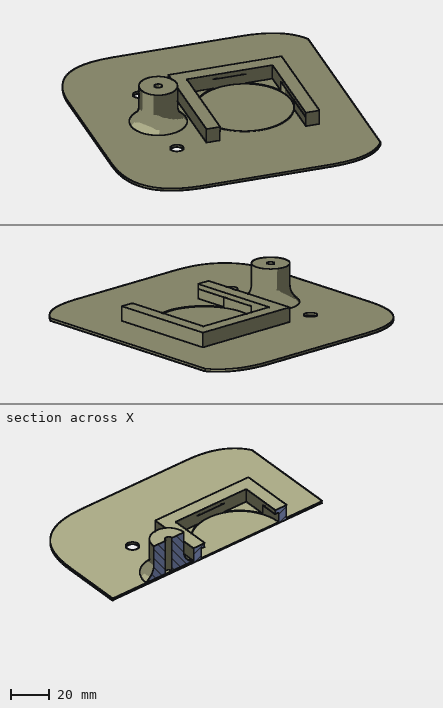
import cadquery as cq
import math

plate_width = 144.5
plate_length = 139.0
plate_thickness = 1.5
half_width = plate_width / 2
corner_reach = 37.1
trim_y = plate_length - half_width

knob_y = -35.0
mount_hole_diameter = 7.0
mount_hole_x = 30.0

holder_y = 12.2
holder_height = 8.0
holder_wall = 7.5
holder_gap = 46.8
holder_left = -31.5
holder_right = 29.5
holder_outer_width = holder_gap + 2 * holder_wall

pocket_diameter = 51.2
pocket_depth = 0.5
lip_thickness = 2.7
entry_clearance = 0.1
pocket_floor = plate_thickness - pocket_depth
lip_bottom = plate_thickness + holder_height - lip_thickness

knob_radius = 10.0
knob_height = 21.0
foot_radius = 15.0
flare_radius = 10.0
knob_bore_diameter = 4.0


def make_plate():
    """Flat plate whose corners are parabolic curves."""
    straight = half_width - corner_reach
    outline = cq.Workplane("XY").moveTo(-straight, -half_width)
    sides = [
        ((straight, -half_width), (half_width, -half_width), (half_width, -straight)),
        ((half_width, straight), (half_width, half_width), (straight, half_width)),
        ((-straight, half_width), (-half_width, half_width), (-half_width, straight)),
        ((-half_width, -straight), (-half_width, -half_width), (-straight, -half_width)),
    ]
    for curve_start, sharp_corner, curve_end in sides:
        outline = outline.lineTo(*curve_start).bezier([curve_start, sharp_corner, curve_end])
    square = outline.close().extrude(plate_thickness)
    kept_area = (
        cq.Workplane("XY")
        .center(0, trim_y - plate_length / 2)
        .rect(plate_width, plate_length)
        .extrude(plate_thickness)
    )
    mount_holes = (
        cq.Workplane("XY")
        .pushPoints([(-mount_hole_x, knob_y), (mount_hole_x, knob_y)])
        .circle(mount_hole_diameter / 2)
        .extrude(plate_thickness)
    )
    return square.intersect(kept_area).cut(mount_holes)


def block_from_left(left, width, bottom, top):
    """Block centred on the holder in Y, running from left to the holder's open end."""
    length = holder_right - left
    return (
        cq.Workplane("XY", origin=(left + length / 2, holder_y, bottom))
        .rect(length, width)
        .extrude(top - bottom)
    )


def make_holder():
    """U-shaped wall standing on the plate."""
    top = plate_thickness + holder_height
    outer = block_from_left(holder_left, holder_outer_width, plate_thickness, top)
    opening = block_from_left(holder_left + holder_wall, holder_gap, plate_thickness, top)
    return outer.cut(opening)


def make_base():
    """Plate and holder in one piece, with the round pocket and its entry cut out."""
    pocket = (
        cq.Workplane("XY", origin=(0, holder_y, pocket_floor))
        .circle(pocket_diameter / 2)
        .extrude(lip_bottom - pocket_floor)
    )
    entry = block_from_left(0, holder_gap + 2 * entry_clearance, plate_thickness, lip_bottom)
    return make_plate().union(make_holder()).cut(pocket).cut(entry)


def make_knob():
    """Turned knob on the plate, bored along its axis."""
    foot_angle = math.radians(45)
    cone_height = foot_radius - knob_radius
    tangent_length = flare_radius * math.tan(foot_angle / 2)
    flare_top = cone_height + tangent_length
    flare_bottom_z = cone_height - tangent_length * math.cos(foot_angle)
    flare_bottom_radius = foot_radius - flare_bottom_z
    mid_angle = foot_angle / 2
    flare_middle = (
        knob_radius + flare_radius * (1 - math.cos(mid_angle)),
        flare_top - flare_radius * math.sin(mid_angle),
    )
    bore_radius = knob_bore_diameter / 2
    return (
        cq.Workplane("XZ", origin=(0, knob_y, plate_thickness))
        .moveTo(bore_radius, 0)
        .lineTo(foot_radius, 0)
        .lineTo(flare_bottom_radius, flare_bottom_z)
        .threePointArc(flare_middle, (knob_radius, flare_top))
        .lineTo(knob_radius, knob_height)
        .lineTo(bore_radius, knob_height)
        .close()
        .revolve(360, (0, 0, 0), (0, 1, 0))
    )


base = make_base()
knob = make_knob()

result = cq.Compound.makeCompound([base.val(), knob.val()])